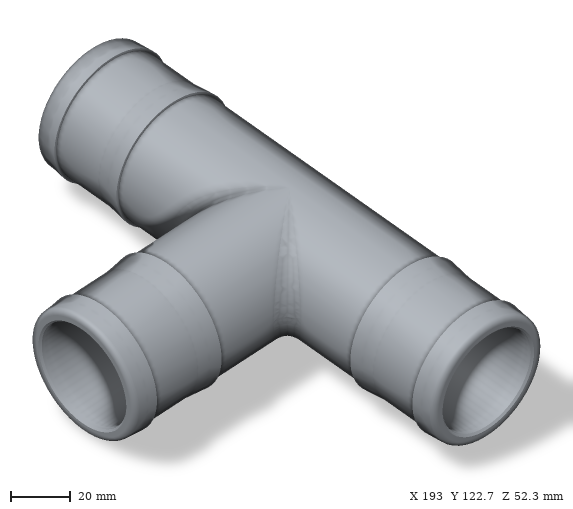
import cadquery as cq

run_length = 193.0
run_reach = run_length / 2
branch_reach = 96.5

bore_radius = 41.1 / 2
mouth_chamfer = 0.8
tube_radius = 50.0 / 2

barb_radius = 52.3 / 2
nose_radius = 25.3
nose_rounding = 2.1
front_barb_shoulder = 9.7
rear_barb_start = 30.0
rear_barb_shoulder = 39.8

junction_radius = 6.4


def cylinder_along_x(radius, length):
    return cq.Workplane("YZ").circle(radius).extrude(length)


def turned_to_branch(shape):
    return shape.rotate((0, 0, 0), (0, 0, 1), -90)


def on_every_arm(run_arm, branch_arm):
    """Join an arm along +X, its mirror image along -X and a branch arm along -Y."""
    run = run_arm.union(run_arm.mirror("YZ"))
    return run.union(turned_to_branch(branch_arm))


def plain_tee():
    """Solid crossing tubes, blended along the mitred seams between run and branch."""
    tee = on_every_arm(
        cylinder_along_x(tube_radius, run_reach - front_barb_shoulder),
        cylinder_along_x(tube_radius, branch_reach - front_barb_shoulder),
    )
    seams = [
        edge
        for edge in tee.edges().vals()
        if min(edge.BoundingBox().xlen, edge.BoundingBox().ylen) > junction_radius
    ]
    return tee.newObject(seams).fillet(junction_radius)


def bore_cutter(reach):
    """Bore along +X that flares by the mouth chamfer at x = reach."""
    return (
        cq.Workplane("XY")
        .lineTo(0, bore_radius)
        .lineTo(reach - mouth_chamfer, bore_radius)
        .lineTo(reach, bore_radius + mouth_chamfer)
        .lineTo(reach, 0)
        .close()
        .revolve(360, (0, 0, 0), (1, 0, 0))
    )


def barbed_end(reach):
    """Solid hose end along +X carrying both barbs, with its open face at x = reach."""
    front_shoulder = reach - front_barb_shoulder
    rear_shoulder = reach - rear_barb_shoulder
    end = (
        cq.Workplane("XY")
        .moveTo(rear_shoulder, 0)
        .lineTo(rear_shoulder, barb_radius)
        .lineTo(reach - rear_barb_start, tube_radius)
        .lineTo(front_shoulder, tube_radius)
        .lineTo(front_shoulder, barb_radius)
        .lineTo(reach, nose_radius)
        .lineTo(reach, 0)
        .close()
        .revolve(360, (0, 0, 0), (1, 0, 0))
    )
    return end.faces(">X").edges().fillet(nose_rounding)


run_end = barbed_end(run_reach)
branch_end = barbed_end(branch_reach)
bores = on_every_arm(bore_cutter(run_reach), bore_cutter(branch_reach))

result = (
    plain_tee()
    .union(run_end)
    .union(run_end.mirror("YZ"))
    .union(turned_to_branch(branch_end))
    .cut(bores)
)